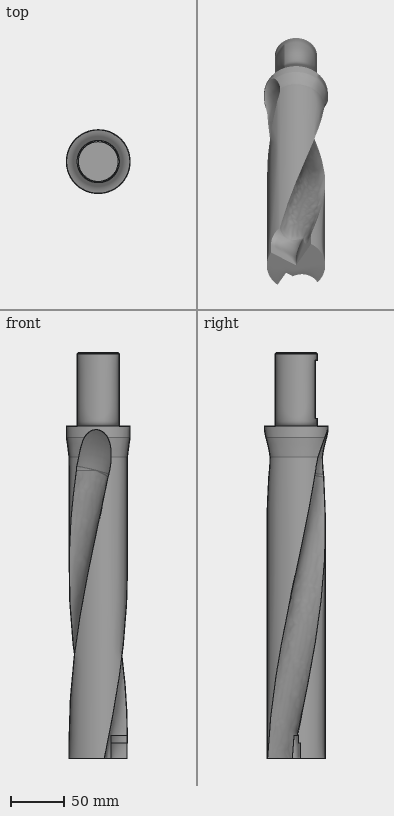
import cadquery as cq
import math

total_length = 382.5
shank_base = 313.5
flange_base = 302.5
body_top = 284.2

shank_radius = 20.0
flange_radius = 60.0 / 2
body_radius = 27.5
shank_chamfer = 1.0

flat_depth = 2.0
flat_bottom = 320.5
flat_top = 375.3

flute_radius = 16.5
flute_offset = 26.8
flute_top = 271.5
flute_twist = 120.0
flute_top_angle = 257.0
runout_bend = 33.0
runout_sideways = 14.0

seat_height = 14.5
quadrant_seat_top = 31.5
step_seat_wall = 12.0
step_seat_top = 21.8
step_seat_depth = 4.0
ledge_width = 1.5
seat_reach = 38.3


def turned_blank():
    """Shank, flange, taper and body turned as one profile."""
    return (
        cq.Workplane("XZ")
        .moveTo(0, 0)
        .lineTo(body_radius, 0)
        .lineTo(body_radius, body_top)
        .lineTo(flange_radius, flange_base)
        .lineTo(flange_radius, shank_base)
        .lineTo(shank_radius, shank_base)
        .lineTo(shank_radius, total_length - shank_chamfer)
        .lineTo(shank_radius - shank_chamfer, total_length)
        .lineTo(0, total_length)
        .close()
        .revolve(360, (0, 0, 0), (0, 1, 0))
    )


def shank_flat():
    """Material removed to leave a flat between two round lands."""
    return cq.Workplane("XY").box(
        2 * shank_radius, shank_radius, flat_top - flat_bottom, centered=(True, False, False)
    ).translate((0, shank_radius - flat_depth, flat_bottom))


def flute_helix():
    """Twisted groove from the tip to the flute top."""
    angle = flute_top_angle - flute_twist
    return (
        cq.Workplane("XY")
        .moveTo(flute_offset, 0)
        .circle(flute_radius)
        .twistExtrude(flute_top, flute_twist)
        .rotate((0, 0, 0), (0, 0, 1), angle)
    )


def flute_runout():
    """Quarter-turn groove that curves outward until it leaves the flange.

    A ball at its start fills the wedge between it and the helix.
    """
    return (
        cq.Workplane("XY")
        .circle(flute_radius)
        .revolve(90, (runout_bend, 0, 0), (runout_bend, 1, 0))
        .union(cq.Workplane("XY").sphere(flute_radius))
        .rotate((0, 0, 0), (1, 0, 0), -runout_sideways)
        .translate((flute_offset, 0, flute_top))
        .rotate((0, 0, 0), (0, 0, 1), flute_top_angle)
    )


def quadrant_seat():
    """Quarter of the tip cut away in -X +Y, its wall curving out at the top."""
    rise = quadrant_seat_top - seat_height
    bend = math.sqrt(0.5)
    return (
        cq.Workplane("XZ")
        .moveTo(-seat_reach, 0)
        .lineTo(0, 0)
        .lineTo(0, seat_height)
        .threePointArc((-rise * (1 - bend), seat_height + rise * bend), (-rise, quadrant_seat_top))
        .lineTo(-seat_reach, quadrant_seat_top)
        .close()
        .extrude(-seat_reach)
    )


def step_seat():
    """Insert seat in +X -Y with a shallower ledge above it."""
    return (
        cq.Workplane("YZ")
        .workplane(offset=step_seat_wall)
        .moveTo(-seat_reach, 0)
        .lineTo(step_seat_depth, 0)
        .lineTo(step_seat_depth, seat_height)
        .lineTo(step_seat_depth - ledge_width, seat_height)
        .lineTo(step_seat_depth - ledge_width, step_seat_top)
        .lineTo(-seat_reach, step_seat_top)
        .close()
        .extrude(seat_reach)
    )


result = turned_blank().cut(shank_flat())
for side in (0, 180):
    for groove in (flute_helix(), flute_runout()):
        result = result.cut(groove.rotate((0, 0, 0), (0, 0, 1), side))
result = result.cut(quadrant_seat()).cut(step_seat())